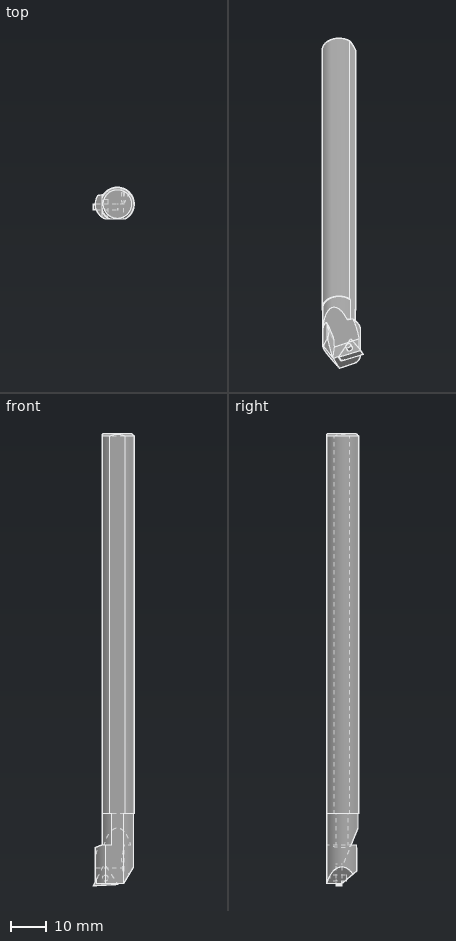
import cadquery as cq
import math

LENGTH = 126
SHANK_RADIUS = 4.72
NECK_RADIUS = 4.5
FLAT_DISTANCE = 4.22
TOP_CHAMFER = 0.8
NECK_TOP = 20.2

HEAD_SHIFT = 1.6
HEAD_BOTTOM = 0.6
HEAD_TOP = 11.5
SHOULDER_HEIGHT = 0.8
BACK_BEVEL_X = 1.8
BACK_BEVEL_TOP = 5.3

RAMP_TOP = 16.1
FLOOR_TOP = 5.0
WALL_X = 2.0
WALL_HEIGHT = 4.2
WALL_BEVEL_TOP = 4.2
NOSE_Z = 7.5
NOSE_PROJECTION = 0.9
NOSE_RADIUS = 3.8

INSERT_SIDE = 6.9
INSERT_THICKNESS = 1.6
CORNER_ANGLE = 60
INSERT_TILT = 3.0
OVERALL_WIDTH = 11.5
TIP_X = SHANK_RADIUS - OVERALL_WIDTH
SCREW_DIAMETER = 1.6
SCREW_PROJECTION = 1.3
SCREW_DEPTH = 3.3

OVERSIZE = 15.1

circumradius = INSERT_SIDE / math.sqrt(3)
centre_angle = math.radians(CORNER_ANGLE / 2 + INSERT_TILT)
INSERT_X = TIP_X + circumradius * math.cos(centre_angle)
INSERT_Z = circumradius * math.sin(centre_angle)


def trimmed_round(radius, bottom, top, with_side_flat):
    """Round bar with the -Y flat and, if wanted, the -X flat."""
    height = top - bottom
    bar = cq.Workplane("XY").workplane(offset=bottom).circle(radius).extrude(height)
    left = FLAT_DISTANCE if with_side_flat else OVERSIZE
    keep = cq.Workplane("XY").box(OVERSIZE + left, OVERSIZE + FLAT_DISTANCE, height, centered=False)
    return bar.intersect(keep.translate((-left, -FLAT_DISTANCE, bottom)))


def along_y(points, start, end):
    """Prism with an XZ outline, running from y = start to y = end."""
    return cq.Workplane("XZ", origin=(0, start, 0)).polyline(points).close().extrude(start - end)


def y_cylinder(diameter, start, end):
    """Cylinder along Y through the centre of the insert."""
    plane = cq.Workplane("XZ", origin=(INSERT_X, start, INSERT_Z))
    return plane.circle(diameter / 2).extrude(start - end)


def make_shank():
    shank = trimmed_round(SHANK_RADIUS, NECK_TOP, LENGTH, True)
    end_radius = SHANK_RADIUS - TOP_CHAMFER
    cone = (
        cq.Workplane("XY").workplane(offset=LENGTH - TOP_CHAMFER).circle(SHANK_RADIUS)
        .workplane(offset=TOP_CHAMFER).circle(end_radius).loft()
    )
    below = cq.Workplane("XY").circle(SHANK_RADIUS).extrude(LENGTH - TOP_CHAMFER)
    return shank.intersect(below.union(cone))


def make_head():
    neck = trimmed_round(NECK_RADIUS, HEAD_TOP - SHOULDER_HEIGHT, NECK_TOP, True)
    core = trimmed_round(NECK_RADIUS, HEAD_BOTTOM, HEAD_TOP, False)
    offset_round = core.translate((-HEAD_SHIFT, 0, 0))
    bridge_depth = NECK_RADIUS + FLAT_DISTANCE
    bridge = cq.Workplane("XY").box(HEAD_SHIFT, bridge_depth, HEAD_TOP - HEAD_BOTTOM, centered=False)
    bridge = bridge.translate((-HEAD_SHIFT, -FLAT_DISTANCE, HEAD_BOTTOM))
    lower = core.union(offset_round).union(bridge)
    shoulder = along_y(
        [
            (-NECK_RADIUS - HEAD_SHIFT, HEAD_TOP - SHOULDER_HEIGHT),
            (-FLAT_DISTANCE, HEAD_TOP),
            (-OVERSIZE, HEAD_TOP),
            (-OVERSIZE, HEAD_TOP - SHOULDER_HEIGHT),
        ],
        -OVERSIZE,
        OVERSIZE,
    )
    back_bevel = along_y(
        [
            (BACK_BEVEL_X, HEAD_BOTTOM),
            (NECK_RADIUS, BACK_BEVEL_TOP),
            (OVERSIZE, BACK_BEVEL_TOP),
            (OVERSIZE, HEAD_BOTTOM),
        ],
        -OVERSIZE,
        OVERSIZE,
    )
    return neck.union(lower.cut(shoulder)).cut(back_bevel)


def make_pocket():
    """Space above the sloping floor, less the wall left standing on the +X side."""
    space = (
        cq.Workplane("YZ", origin=(-OVERSIZE, 0, 0))
        .polyline([(0, 0), (0, FLOOR_TOP), (NECK_RADIUS, RAMP_TOP), (OVERSIZE, RAMP_TOP), (OVERSIZE, 0)])
        .close()
        .extrude(2 * OVERSIZE)
    )
    wall = along_y(
        [
            (WALL_X, 0),
            (WALL_X - NOSE_PROJECTION, NOSE_Z),
            (WALL_X, HEAD_TOP),
            (OVERSIZE, HEAD_TOP),
            (OVERSIZE, 0),
        ],
        0,
        WALL_HEIGHT,
    )
    nose = cq.selectors.NearestToPointSelector((WALL_X - NOSE_PROJECTION, WALL_HEIGHT / 2, NOSE_Z))
    wall = wall.edges("|Y").edges(nose).fillet(NOSE_RADIUS)
    wall_bevel = (
        cq.Workplane("YZ")
        .polyline([(0, HEAD_BOTTOM), (WALL_HEIGHT, WALL_BEVEL_TOP), (WALL_HEIGHT, HEAD_BOTTOM)])
        .close()
        .extrude(OVERSIZE)
    )
    return space.cut(wall.cut(wall_bevel))


def make_insert_blank():
    corners = [(TIP_X, 0)]
    for angle in (INSERT_TILT, INSERT_TILT + CORNER_ANGLE):
        turn = math.radians(angle)
        corners.append((TIP_X + INSERT_SIDE * math.cos(turn), INSERT_SIDE * math.sin(turn)))
    return along_y(corners, -INSERT_THICKNESS, 0)


def make_screw():
    return y_cylinder(SCREW_DIAMETER, -SCREW_DEPTH, SCREW_PROJECTION)


insert_blank = make_insert_blank()
screw = make_screw()
insert = insert_blank.cut(screw)
bar = make_shank().union(make_head()).cut(make_pocket()).cut(insert_blank).cut(screw)

result = cq.Compound.makeCompound([bar.solids().val(), insert.solids().val(), screw.val()])